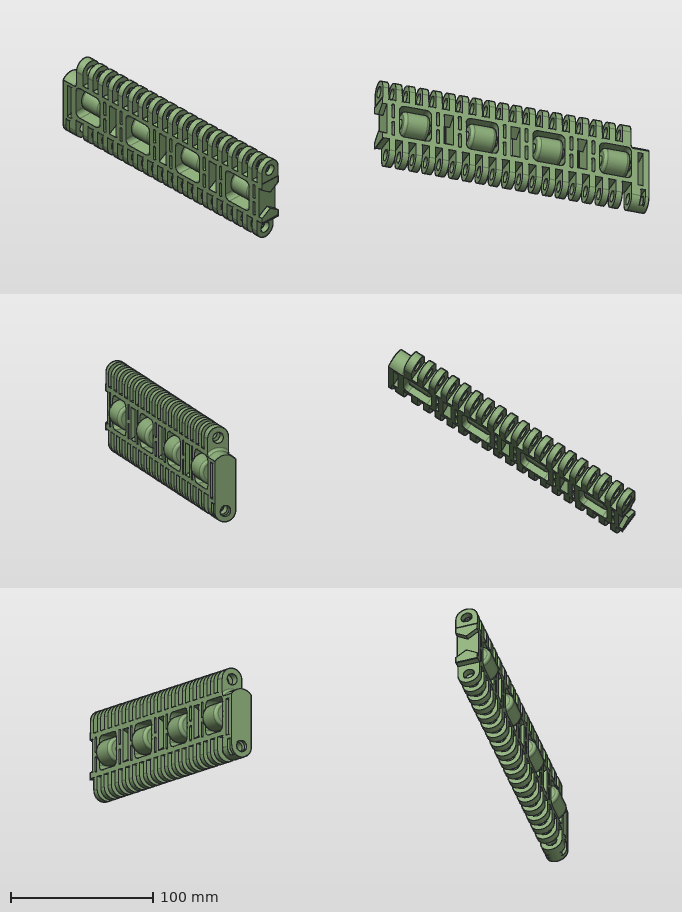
import cadquery as cq

length = 200.0
thickness = 16.0
hinge_distance = 50.0
hinge_radius = thickness / 2
hinge_hole_diameter = 8.0
hinge_z = hinge_distance / 2
half_height = hinge_z + hinge_radius

gap_pitch = 10.0
gap_width = 5.2
gap_count = 18
gap_floor_z = 16.0
first_upper_gap_x = 19.8
first_lower_gap_x = first_upper_gap_x + gap_pitch / 2

end_rib_width = 0.5
end_rib_x = length - end_rib_width
end_rib_z = 16.8

end_block_length = 13.0
first_lower_finger_x = 20.0
first_upper_finger_x = 13.5
arch_radius = 10.0
arch_flare = 2.0
arch_center_z = gap_floor_z - arch_radius

end_slot_x = 4.5
end_slot_width = 3.8
end_slot_center_z = -3.5
end_slot_face_height = 26.0
end_slot_waist_height = 21.5
end_notch_x = 2.8
end_notch_width = 3.5
end_notch_bottom_z = -31.0
end_notch_top_z = -19.5

station_count = 4
station_pitch = 50.0
first_station_x = 25.0

window_length = 24.0
window_height = 24.8
window_corner_radius = 4.0

narrow_slot_width = 2.2
narrow_slot_length = 11.0
narrow_slot_offset_x = 16.8
narrow_slot_offset_z = 7.0

pocket_width = 6.8
pocket_face_height = 23.5
pocket_waist_height = 13.5

roller_diameter = 18.8
roller_length = 19.5
roller_round = 2.5
roller_projection = 4.5
roller_y = thickness / 2 + roller_projection - roller_diameter / 2
journal_diameter = 7.2


def block(x_start, x_end, z_start, z_end):
    """A block through the full thickness of the link."""
    x_size = x_end - x_start
    z_size = z_end - z_start
    corner = (x_start, -thickness / 2, z_start)
    return cq.Workplane("XY").box(x_size, thickness, z_size, centered=False).translate(corner)


def link_blank():
    """The full-length plate with both long edges rounded about the hinge axes."""
    return cq.Workplane("YZ").slot2D(2 * half_height, thickness, 90).extrude(length)


def finger_gaps():
    """The spaces that split both long edges into hinge fingers; the last stops at the end rib."""
    gaps = block(end_block_length, first_lower_finger_x, -half_height, -gap_floor_z)
    for index in range(gap_count):
        upper_x = first_upper_gap_x + index * gap_pitch
        lower_x = first_lower_gap_x + index * gap_pitch
        gaps = gaps.union(block(upper_x, upper_x + gap_width, gap_floor_z, half_height))
        lower_end_x = min(lower_x + gap_width, end_rib_x)
        gaps = gaps.union(block(lower_x, lower_end_x, -half_height, -gap_floor_z))
    return gaps


def end_rib_reliefs():
    """Trims the +X end face back to the end rib, above and below it."""
    above = block(end_rib_x, length, end_rib_z, half_height)
    below = block(end_rib_x, length, -half_height, -end_rib_z)
    return above.union(below)


def end_arch():
    """The arched top of the -X end block, ending in a concave flare."""
    flare_x = first_upper_finger_x - arch_flare
    solid = (
        cq.Workplane("XY")
        .lineTo(0, arch_radius)
        .lineTo(flare_x, arch_radius)
        .radiusArc((first_upper_finger_x, arch_radius + arch_flare), -arch_flare)
        .lineTo(first_upper_finger_x, 0)
        .close()
        .revolve(360, (0, 0, 0), (1, 0, 0))
        .translate((0, 0, arch_center_z))
    )
    return solid.intersect(block(0, first_upper_finger_x, arch_center_z, half_height))


def tapered_opening(x_start, width, center_z, face_height, waist_height):
    """An opening through the thickness, tallest at both faces and narrowing to a waist between."""
    face_y = thickness / 2
    face_z = face_height / 2
    waist_z = waist_height / 2
    return (
        cq.Workplane("YZ", origin=(x_start, 0, center_z))
        .polyline(
            [
                (-face_y, -face_z),
                (0, -waist_z),
                (face_y, -face_z),
                (face_y, face_z),
                (0, waist_z),
                (-face_y, face_z),
            ]
        )
        .close()
        .extrude(width)
    )


def roller_window(station_x):
    """The round-cornered opening around a roller."""
    return (
        cq.Workplane("XZ", origin=(station_x, 0, 0))
        .rect(window_length, window_height)
        .extrude(thickness / 2, both=True)
        .edges("|Y")
        .fillet(window_corner_radius)
    )


def narrow_slots(station_x):
    """Four round-ended slots, two on each side of a window."""
    return (
        cq.Workplane("XZ", origin=(station_x, 0, 0))
        .rect(2 * narrow_slot_offset_x, 2 * narrow_slot_offset_z, forConstruction=True)
        .vertices()
        .slot2D(narrow_slot_length, narrow_slot_width, 90)
        .extrude(thickness / 2, both=True)
    )


def hinge_holes():
    """Bores along both hinge axes, through every finger."""
    return (
        cq.Workplane("YZ")
        .pushPoints([(0, hinge_z), (0, -hinge_z)])
        .circle(hinge_hole_diameter / 2)
        .extrude(length)
    )


def make_link():
    """The fingered plate with all its openings."""
    link = link_blank().cut(finger_gaps()).cut(end_rib_reliefs())

    link = link.cut(block(0, first_upper_finger_x, arch_center_z, half_height)).union(end_arch())
    link = link.cut(
        tapered_opening(
            end_slot_x, end_slot_width, end_slot_center_z, end_slot_face_height, end_slot_waist_height
        )
    )
    link = link.cut(
        block(end_notch_x, end_notch_x + end_notch_width, end_notch_bottom_z, end_notch_top_z)
    )

    for index in range(station_count):
        station_x = first_station_x + index * station_pitch
        pocket_x = station_x + (station_pitch - pocket_width) / 2
        link = link.cut(roller_window(station_x))
        slots = narrow_slots(station_x)
        if index == 0:
            slots = slots.intersect(block(station_x, length, -half_height, half_height))
        link = link.cut(slots)
        link = link.cut(
            tapered_opening(pocket_x, pocket_width, 0, pocket_face_height, pocket_waist_height)
        )

    return link.cut(hinge_holes())


def cylinder(center_x, cylinder_length, diameter):
    """A cylinder on the roller axis."""
    start = (center_x - cylinder_length / 2, roller_y, 0)
    return cq.Workplane("YZ", origin=start).circle(diameter / 2).extrude(cylinder_length)


def make_roller(station_x):
    """A round-edged roller whose journals reach the window sides."""
    drum = cylinder(station_x, roller_length, roller_diameter).edges().fillet(roller_round)
    journals = cylinder(station_x, window_length, journal_diameter)
    return drum.union(journals)


link = make_link()
rollers = [make_roller(first_station_x + index * station_pitch) for index in range(station_count)]

result = cq.Compound.makeCompound([link.val(), *[roller.val() for roller in rollers]])